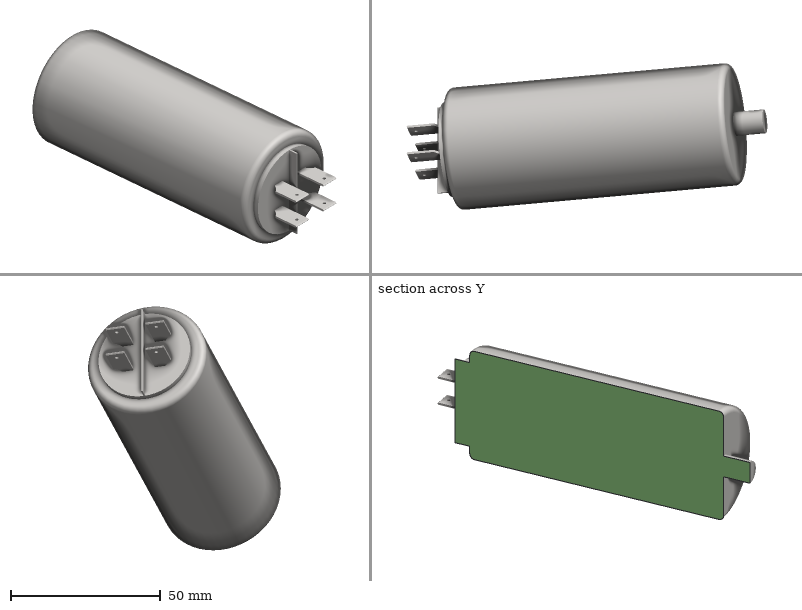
import cadquery as cq

can_diameter = 41.0
can_length = 96.0
can_edge_radius = 2.0

stud_diameter = 8.0
stud_length = 10.0

cover_diameter = 31.7
cover_thickness = 2.0
cover_face_x = can_length + cover_thickness

wall_height = cover_diameter
wall_thickness = 0.5
wall_length = 3.5
wall_tip_chamfer = 0.2

tab_length = 12.0
tab_width = 6.3
tab_thickness = 0.8
tab_center_y = 6.85
tab_center_z = 4.9
tab_tip_chamfer = 0.35
tab_hole_diameter = 1.2
tab_hole_from_tip = 2.6

neck_width = 3.8
neck_length = 2.7
neck_mid_length = 1.8
neck_mid_width = 5.1


def make_can():
    can = cq.Workplane("YZ").circle(can_diameter / 2).extrude(can_length)
    return can.edges("%CIRCLE").fillet(can_edge_radius)


def make_stud():
    return cq.Workplane("YZ").circle(stud_diameter / 2).extrude(-stud_length)


def make_cover():
    cover_plane = cq.Workplane("YZ", origin=(can_length, 0, 0))
    return cover_plane.circle(cover_diameter / 2).extrude(cover_thickness)


def make_wall():
    wall = cq.Workplane("XY").box(wall_length, wall_thickness, wall_height)
    wall = wall.faces(">X").edges("|Z").chamfer(wall_tip_chamfer)
    return wall.translate((cover_face_x + wall_length / 2, 0, 0))


def make_tab():
    """Terminal on the +Y side, centered on Z = 0."""
    inner_y = tab_center_y - tab_width / 2
    outer_y = inner_y + tab_width
    tip_x = cover_face_x + tab_length
    tab = (
        cq.Workplane("XY", origin=(0, 0, -tab_thickness / 2))
        .moveTo(cover_face_x, inner_y)
        .lineTo(tip_x, inner_y)
        .lineTo(tip_x, outer_y)
        .lineTo(cover_face_x + neck_length, outer_y)
        .threePointArc(
            (cover_face_x + neck_mid_length, inner_y + neck_mid_width),
            (cover_face_x, inner_y + neck_width),
        )
        .close()
        .extrude(tab_thickness)
    )
    tab = tab.faces(">X").edges("|Y").chamfer(tab_tip_chamfer)
    hole = (
        cq.Workplane("XY", origin=(tip_x - tab_hole_from_tip, tab_center_y, 0))
        .circle(tab_hole_diameter / 2)
        .extrude(tab_thickness, both=True)
    )
    return tab.cut(hole)


tab_left = make_tab()
tab_right = tab_left.mirror("XZ")

result = make_can().union(make_stud()).union(make_cover()).union(make_wall())
for tab in (tab_left, tab_right):
    for z in (-tab_center_z, tab_center_z):
        result = result.union(tab.translate((0, 0, z)))